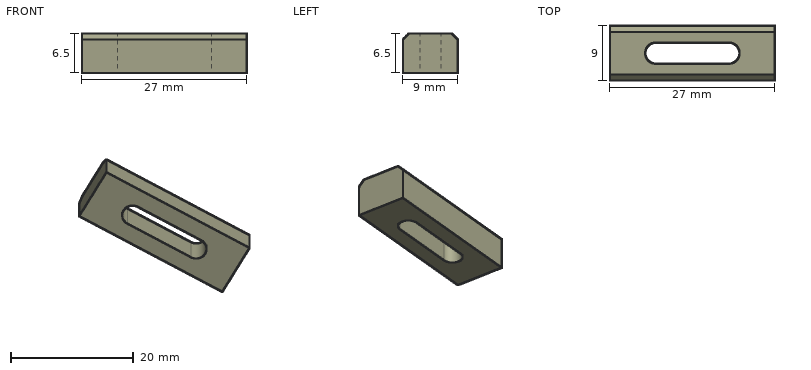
import cadquery as cq

length = 27.0
width = 9.0
height = 6.5

bevel = 1.0

slot_length = 15.4
slot_width = 3.4

block = cq.Workplane("XY").box(length, width, height, centered=(True, True, False))
beveled_block = block.faces(">Z").edges("|X").chamfer(bevel)

result = beveled_block.faces(">Z").workplane().slot2D(slot_length, slot_width).cutThruAll()